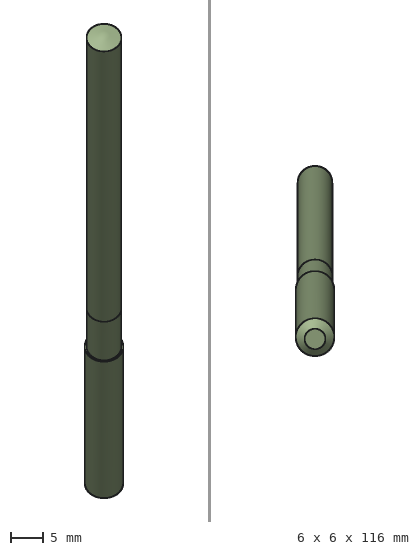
import cadquery as cq

total_length = 116.0
shank_radius = 3.0
rod_radius = 2.73

foot_radius = 1.6
foot_height = 1.3
grip_top = 36.2
neck_top = 46.0

point_height = 0.8
point_base = total_length - point_height


def turned_body(profile):
    """Revolve a closed half profile of (radius, height) points about Z."""
    return (
        cq.Workplane("XZ")
        .polyline(profile)
        .close()
        .revolve(360, (0, 0, 0), (0, 1, 0))
    )


def make_shank():
    return turned_body([
        (0, 0),
        (foot_radius, 0),
        (shank_radius, foot_height),
        (shank_radius, grip_top),
        (rod_radius, grip_top),
        (rod_radius, neck_top),
        (0, neck_top),
    ])


def make_rod():
    return turned_body([
        (0, neck_top),
        (rod_radius, neck_top),
        (rod_radius, point_base),
        (0, total_length),
    ])


shank = make_shank()
rod = make_rod()

result = cq.Compound.makeCompound([shank.val(), rod.val()])